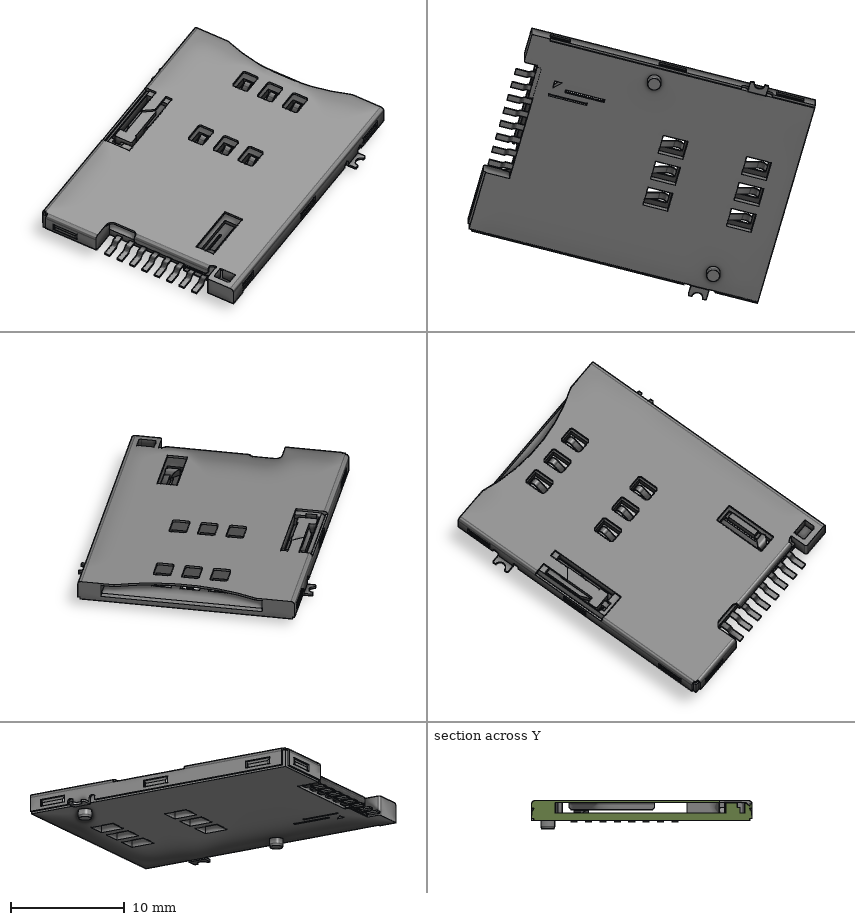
import cadquery as cq
import math

SHELL_WIDTH = 19.4
LENGTH = 26.5
TOP_Z = 1.9
SHEET = 0.2
BEND_RADIUS = 0.33
WALL_BOTTOM_Z = 0.3
BASE_BOTTOM_Z = 0.12
FLOOR_Z = 0.8

SIDE_X = SHELL_WIDTH / 2
BACK_Y = LENGTH / 2
FRONT_Y = -LENGTH / 2
UNDER_TOP_Z = TOP_Z - SHEET
WALL_DROP = TOP_Z - WALL_BOTTOM_Z

LEFT_FLANGE_X = (-9.1, -3.97)
NOTCH_Y = -10.88
NOTCH_CORNER = 0.6
MIDDLE_FLANGE_X = (-1.14, 6.4)
MIDDLE_FLANGE_Y = -11.4
MIDDLE_FLANGE_DROP = 0.82
MIDDLE_FLANGE_CORNER = 0.2
RELIEF_WIDTH = 0.3
LEFT_WALL_FRONT_Y = -12.76

RECESS_X = 0.1
RECESS_HALF_WIDTH = 6.35
RECESS_DEPTH = 1.2

BASE_SIDE_X = SIDE_X - SHEET
BASE_FRONT_Y = -13.06
CAVITY_X = (-6.8, 7.6)
LEAD_IN = 0.21
FLOOR_LIP_X = 3.86
FLOOR_LIP_Y = MIDDLE_FLANGE_Y + SHEET / 2
BLOCK_X = (6.97, SIDE_X)
BLOCK_FRONT_Y = -12.55
BLOCK_EDGE_RADIUS = 0.2
BLOCK_POCKET_X = (7.37, 8.92)
BLOCK_POCKET_Y = (-12.0, NOTCH_Y)

CONTACT_X = 0.11
CONTACT_PITCH = 2.54
CONTACT_WIDTH = 0.6
ROW_Y = (9.82, 2.22)
CONTACT_SHEET = 0.15
CONTACT_TOP_Z = 1.3
CONTACT_CREST_OFFSET = 0.4
CONTACT_CREST_HALF_LENGTH = 0.3
CONTACT_CREST_FALL = 0.13
WINDOW_WIDTH = 1.53
WINDOW_LENGTH = 2.05
WINDOW_RADIUS = 0.22
FLOOR_OPENING_MARGIN = 0.1

TAIL_COUNT = 8
TAIL_PITCH = 1.27
FIRST_TAIL_X = -2.93
TAIL_WIDTH = 0.53
TAIL_SHEET = 0.15
TAIL_SHOULDER_Z = 0.5
TAIL_BEND_RADIUS = 0.1
TAIL_ROOT_Y = -10.3
TAIL_BEND_Y = (-11.6, -11.85)

TAB_Y = 7.98
TAB_WIDTH = 1.66
TAB_TIP_X = 10.475
TAB_NOTCH_RADIUS = 0.48
TAB_CORNER = 0.12
TAB_RELIEF_WIDTH = 0.58
TAB_RELIEF_TOP_Z = 0.8

LATCH_Z = (0.6, 1.21)
LATCH_SIDE_Y = (10.96, 0.28, -10.3)
LATCH_FRONT_X = -7.13
LATCH_LENGTH = 2.47
LATCH_END = 0.2
LATCH_SETBACK = 0.04

PEG_POINTS = ((-7.85, 8.73), (8.25, -1.03))
PEG_DIAMETER = 1.22
PEG_BOTTOM_Z = -0.6
PEG_TAPER = (0.2, 0.06)

LOCK_Y = (-2.66, 4.67)
LOCK_RIGHT_X = -6.85
LOCK_RAIL_TOP_Z = 1.6
LOCK_RAIL_SLOPE_X = -9.15
LOCK_POCKET_X = (-9.07, LOCK_RIGHT_X)
LOCK_POCKET_Y = (-1.95, 4.1)
LOCK_FOOT_SLOPE = 0.25
TONGUE_X = (-8.48, -7.48)
TONGUE_TIP_Y = (2.05, 2.8)
LEVER_LEDGE_Z = 1.3
LEVER_LEDGE_X = (-8.8, -7.07)
LEVER_LEDGE_Y = (-0.65, LOCK_POCKET_Y[1])
LEVER_LEDGE_BEVEL = (0.38, 1.1)
LEVER_ARM_X = (-8.4, -7.37)
LEVER_HEAD_X = (-9.0, -7.26)
LEVER_HEAD_Y = (-1.6, -0.65)
LEVER_HEAD_CORNER = 0.15
LEVER_STEM_X = (-8.3, -7.8)
LEVER_CATCH_X = (-8.8, -7.83)
LEVER_CATCH_Y = (-2.3, -1.6)
LEVER_CATCH_Z = 1.2

SWITCH_X = (4.18, 5.96)
SWITCH_Y = (-9.69, -4.75)
SWITCH_SLIT_LEFT = ((4.48, 4.67), (-9.65, -6.15))
SWITCH_SLIT_RIGHT = ((5.15, 5.4), (-8.3, -4.75))
SWITCH_SPRING_Z = 0.45
SWITCH_LEDGE_Y = (-8.0, -5.1)
SWITCH_LEDGE_Z = 0.9
SWITCH_HUMP_Y = (-9.45, -8.3)
SWITCH_HUMP_TOP_Z = 1.02
SWITCH_HUMP_SKEW = 0.65
SWITCH_RECESS_X = (3.9, 6.8)
SWITCH_RECESS_Z = (0.22, 0.65)
SWITCH_RECESS_DEPTH = 0.4


def box(x_range, y_range, z_range):
    """Axis-aligned block from three (low, high) pairs."""
    size = [high - low for low, high in (x_range, y_range, z_range)]
    block = cq.Workplane("XY").box(*size, centered=False)
    return block.translate((x_range[0], y_range[0], z_range[0]))


def prism(points, z_range):
    """Vertical prism over a closed XY polygon."""
    outline = cq.Workplane("XY").workplane(offset=z_range[0]).polyline(points).close()
    return outline.extrude(z_range[1] - z_range[0])


def side_strip(points, x_center, width):
    """Closed YZ polygon extruded along X, centred on x_center."""
    outline = cq.Workplane("YZ").workplane(offset=x_center - width / 2).polyline(points).close()
    return outline.extrude(width)


def bent_edge(length, drop):
    """Sheet bent down at its edge: outer face at X = 0 facing +X, running from Y = 0 to length."""
    inner_radius = BEND_RADIUS - SHEET
    diagonal = math.sqrt(0.5)
    outer_mid = (BEND_RADIUS * (diagonal - 1), TOP_Z + BEND_RADIUS * (diagonal - 1))
    inner_mid = (inner_radius * diagonal - BEND_RADIUS, TOP_Z - BEND_RADIUS + inner_radius * diagonal)
    profile = (
        cq.Workplane("XZ")
        .moveTo(-BEND_RADIUS, TOP_Z)
        .threePointArc(outer_mid, (0, TOP_Z - BEND_RADIUS))
        .lineTo(0, TOP_Z - drop)
        .lineTo(-SHEET, TOP_Z - drop)
        .lineTo(-SHEET, TOP_Z - BEND_RADIUS)
        .threePointArc(inner_mid, (-BEND_RADIUS, UNDER_TOP_Z))
        .close()
    )
    return profile.extrude(-length)


def front_bend(x_range, y, drop):
    """Bent edge whose outer face looks toward -Y."""
    strip = bent_edge(x_range[1] - x_range[0], drop).rotate((0, 0, 0), (0, 0, 1), -90)
    return strip.translate((x_range[0], y, 0))


def top_plate():
    side = SIDE_X - BEND_RADIUS
    left_front = FRONT_Y + BEND_RADIUS
    middle_front = MIDDLE_FLANGE_Y + BEND_RADIUS
    notch_left = LEFT_FLANGE_X[1]
    middle_left, middle_right = MIDDLE_FLANGE_X
    corner_mid = NOTCH_CORNER * (1 - math.sqrt(0.5))
    plate = (
        cq.Workplane("XY")
        .workplane(offset=UNDER_TOP_Z)
        .moveTo(-side, BACK_Y)
        .lineTo(RECESS_X - RECESS_HALF_WIDTH, BACK_Y)
        .threePointArc((RECESS_X, BACK_Y - RECESS_DEPTH), (RECESS_X + RECESS_HALF_WIDTH, BACK_Y))
        .lineTo(side, BACK_Y)
        .lineTo(side, NOTCH_Y)
        .lineTo(middle_right + RELIEF_WIDTH, NOTCH_Y)
        .lineTo(middle_right, middle_front)
        .lineTo(middle_left, middle_front)
        .lineTo(middle_left - RELIEF_WIDTH, NOTCH_Y)
        .lineTo(notch_left + NOTCH_CORNER, NOTCH_Y)
        .threePointArc((notch_left + corner_mid, NOTCH_Y - corner_mid), (notch_left, NOTCH_Y - NOTCH_CORNER))
        .lineTo(notch_left, left_front)
        .lineTo(-side, left_front)
        .close()
    )
    return plate.extrude(SHEET)


def shell():
    body = top_plate()
    right_wall = bent_edge(BACK_Y - NOTCH_Y, WALL_DROP).translate((SIDE_X, NOTCH_Y, 0))
    left_wall = bent_edge(BACK_Y - LEFT_WALL_FRONT_Y, WALL_DROP).mirror("YZ")
    left_wall = left_wall.translate((-SIDE_X, LEFT_WALL_FRONT_Y, 0))
    middle_flange = front_bend(MIDDLE_FLANGE_X, MIDDLE_FLANGE_Y, MIDDLE_FLANGE_DROP)
    middle_flange = middle_flange.faces("<Z").edges("|Y").chamfer(MIDDLE_FLANGE_CORNER)
    body = body.union(right_wall).union(left_wall).union(middle_flange)
    body = body.union(front_bend(LEFT_FLANGE_X, FRONT_Y, WALL_DROP))
    for row_y in ROW_Y:
        for x in contact_positions():
            window = cq.Workplane("XY").box(WINDOW_WIDTH, WINDOW_LENGTH, TOP_Z).edges("|Z")
            body = body.cut(window.fillet(WINDOW_RADIUS).translate((x, row_y, TOP_Z)))
    body = body.cut(box(SWITCH_X, SWITCH_Y, (UNDER_TOP_Z, TOP_Z)))
    body = body.cut(lock_opening())
    for y in LATCH_SIDE_Y:
        ends = (y - LATCH_LENGTH / 2, y + LATCH_LENGTH / 2)
        body = body.cut(box((-SIDE_X, -BASE_SIDE_X), ends, LATCH_Z))
        body = body.cut(box((BASE_SIDE_X, SIDE_X), ends, LATCH_Z))
    ends = (LATCH_FRONT_X - LATCH_LENGTH / 2, LATCH_FRONT_X + LATCH_LENGTH / 2)
    body = body.cut(box(ends, (FRONT_Y, FRONT_Y + SHEET), LATCH_Z))
    return body.cut(tab_reliefs()).union(side_tab()).union(side_tab().mirror("YZ"))


def contact_positions():
    return [CONTACT_X + step * CONTACT_PITCH for step in (-1, 0, 1)]


def lock_opening():
    """Opening in the shell around the card lock, leaving a tongue with a slanted tip."""
    opening = box((-SIDE_X, LOCK_RIGHT_X), LOCK_Y, (LOCK_RAIL_TOP_Z, TOP_Z))
    left, right = TONGUE_X
    tongue = [
        (left, LOCK_Y[1]),
        (right, LOCK_Y[1]),
        (right, TONGUE_TIP_Y[1]),
        (left, TONGUE_TIP_Y[0]),
    ]
    return opening.cut(prism(tongue, (LOCK_RAIL_TOP_Z, TOP_Z)))


def tab_reliefs():
    """Round-topped slots in both side walls at the ends of the solder tabs."""
    radius = TAB_RELIEF_WIDTH / 2
    offset = TAB_WIDTH / 2 + radius
    arch_z = TAB_RELIEF_TOP_Z - radius
    slot = cq.Workplane("YZ").workplane(offset=-SIDE_X)
    reliefs = slot.pushPoints([(TAB_Y - offset, arch_z), (TAB_Y + offset, arch_z)])
    reliefs = reliefs.circle(radius).extrude(SHELL_WIDTH)
    for sign in (-1, 1):
        y = TAB_Y + sign * offset
        reliefs = reliefs.union(box((-SIDE_X, SIDE_X), (y - radius, y + radius), (WALL_BOTTOM_Z, arch_z)))
    keep_core = box((-BASE_SIDE_X, BASE_SIDE_X), (FRONT_Y, BACK_Y), (0, TOP_Z))
    return reliefs.cut(keep_core)


def side_tab():
    """Right-hand solder tab: the side wall carried down and turned outward, with a notched tip."""
    y_range = (TAB_Y - TAB_WIDTH / 2, TAB_Y + TAB_WIDTH / 2)
    foot = box((BASE_SIDE_X, TAB_TIP_X), y_range, (0, SHEET)).edges("|Z and >X").fillet(TAB_CORNER)
    notch = cq.Workplane("XY").center(TAB_TIP_X, TAB_Y).circle(TAB_NOTCH_RADIUS).extrude(SHEET)
    return foot.cut(notch).union(box((BASE_SIDE_X, SIDE_X), y_range, (0, WALL_BOTTOM_Z)))


def latch_nub(length):
    """Wedge on a wall facing -Y at Y = 0: upright lower half, sloping top and sloping ends."""
    front = LATCH_SETBACK - SHEET
    low, high = LATCH_Z
    middle = (low + high) / 2
    profile = [(0, low), (front, low), (front, middle), (0, high)]
    nub = side_strip(profile, 0, length)
    half = length / 2
    plan = [(-half, 0), (-half + LATCH_END, front), (half - LATCH_END, front), (half, 0)]
    return nub.intersect(prism(plan, LATCH_Z))


def base():
    left_end = LEFT_FLANGE_X[1]
    outline = [
        (-BASE_SIDE_X, BACK_Y),
        (BASE_SIDE_X, BACK_Y),
        (BASE_SIDE_X, NOTCH_Y),
        (BLOCK_X[0], NOTCH_Y),
        (BLOCK_X[0], FLOOR_LIP_Y),
        (FLOOR_LIP_X, FLOOR_LIP_Y),
        (FLOOR_LIP_X, NOTCH_Y),
        (left_end, NOTCH_Y),
        (left_end, BASE_FRONT_Y),
        (-BASE_SIDE_X, BASE_FRONT_Y),
    ]
    body = prism(outline, (BASE_BOTTOM_Z, UNDER_TOP_Z))
    body = body.cut(box(CAVITY_X, (NOTCH_Y, BACK_Y), (FLOOR_Z, UNDER_TOP_Z)))
    body = body.cut(box((left_end, BLOCK_X[0]), (FRONT_Y, NOTCH_Y), (FLOOR_Z, UNDER_TOP_Z)))
    lead_in = [(BACK_Y, FLOOR_Z), (BACK_Y, FLOOR_Z - LEAD_IN), (BACK_Y - LEAD_IN, FLOOR_Z)]
    body = body.cut(side_strip(lead_in, sum(CAVITY_X) / 2, CAVITY_X[1] - CAVITY_X[0]))
    for row_y in ROW_Y:
        for x in contact_positions():
            half_x = WINDOW_WIDTH / 2 + FLOOR_OPENING_MARGIN
            half_y = WINDOW_LENGTH / 2 + FLOOR_OPENING_MARGIN
            opening = (x - half_x, x + half_x), (row_y - half_y, row_y + half_y), (0, FLOOR_Z)
            body = body.cut(box(*opening))
    return body.union(corner_block())


def corner_block():
    """Full-height block at the front right corner with an open-topped pocket."""
    block = box(BLOCK_X, (BLOCK_FRONT_Y, NOTCH_Y), (BASE_BOTTOM_Z, TOP_Z))
    block = block.edges("|Z and <X and <Y").fillet(BLOCK_EDGE_RADIUS)
    block = block.edges("|Y and >X and >Z").fillet(BEND_RADIUS)
    pocket = box(BLOCK_POCKET_X, BLOCK_POCKET_Y, (FLOOR_Z, TOP_Z))
    return block.cut(pocket.edges("|Z and <Y").fillet(BLOCK_EDGE_RADIUS))


def add_latches(body):
    for y in LATCH_SIDE_Y:
        right_nub = latch_nub(LATCH_LENGTH).rotate((0, 0, 0), (0, 0, 1), 90)
        right_nub = right_nub.translate((BASE_SIDE_X, y, 0))
        body = body.union(right_nub).union(right_nub.mirror("YZ"))
    return body.union(latch_nub(LATCH_LENGTH).translate((LATCH_FRONT_X, FRONT_Y + SHEET, 0)))


def contact(x, row_y):
    """Spring strip rising from the front of its floor opening over a rounded crest."""
    root_y = row_y - WINDOW_LENGTH / 2 - 2 * FLOOR_OPENING_MARGIN
    crest_y = row_y + CONTACT_CREST_OFFSET
    root_z = BASE_BOTTOM_Z + CONTACT_SHEET
    slope_end = (crest_y - CONTACT_CREST_HALF_LENGTH, CONTACT_TOP_Z - CONTACT_CREST_FALL)
    crest = (crest_y, CONTACT_TOP_Z)
    tip = (crest_y + CONTACT_CREST_HALF_LENGTH, CONTACT_TOP_Z - CONTACT_CREST_FALL)
    end = (row_y + WINDOW_LENGTH / 2 - FLOOR_OPENING_MARGIN, FLOOR_Z)

    def lowered(point):
        return (point[0], point[1] - CONTACT_SHEET)

    profile = (
        cq.Workplane("YZ")
        .workplane(offset=x - CONTACT_WIDTH / 2)
        .moveTo(root_y, root_z)
        .lineTo(*slope_end)
        .threePointArc(crest, tip)
        .lineTo(*end)
        .lineTo(*lowered(end))
        .lineTo(*lowered(tip))
        .threePointArc(lowered(crest), lowered(slope_end))
        .lineTo(*lowered((root_y, root_z)))
        .close()
    )
    return profile.extrude(CONTACT_WIDTH)


def solder_tail(x):
    """Z-shaped tail stepping down from the base to the soldering plane."""
    high = TAIL_SHOULDER_Z
    bend_out, bend_down = TAIL_BEND_Y
    points = [
        (TAIL_ROOT_Y, high),
        (bend_out, high),
        (bend_down, TAIL_SHEET),
        (BASE_FRONT_Y, TAIL_SHEET),
        (BASE_FRONT_Y, 0),
        (bend_down - TAIL_SHEET / 2, 0),
        (bend_out - TAIL_SHEET / 2, high - TAIL_SHEET),
        (TAIL_ROOT_Y, high - TAIL_SHEET),
    ]
    bend_zone = cq.selectors.BoxSelector(
        (x - TAIL_WIDTH, bend_down - TAIL_SHEET, -TAIL_SHEET),
        (x + TAIL_WIDTH, bend_out + TAIL_SHEET, high + TAIL_SHEET),
    )
    return side_strip(points, x, TAIL_WIDTH).edges("|X").edges(bend_zone).fillet(TAIL_BEND_RADIUS)


def peg(point):
    taper_height, taper_inset = PEG_TAPER
    post = cq.Workplane("XY").workplane(offset=PEG_BOTTOM_Z).center(*point)
    post = post.circle(PEG_DIAMETER / 2).extrude(BASE_BOTTOM_Z - PEG_BOTTOM_Z)
    return post.faces("<Z").edges().chamfer(taper_height, taper_inset)


def add_card_lock(body):
    """Pocket in the left rail holding a two-level locking lever."""
    slope = [
        (-BASE_SIDE_X, UNDER_TOP_Z),
        (LOCK_RAIL_SLOPE_X, UNDER_TOP_Z),
        (-BASE_SIDE_X, LOCK_RAIL_TOP_Z - SHEET),
    ]
    wedge = cq.Workplane("XZ").polyline(slope).close().extrude(LOCK_Y[0] - LOCK_Y[1])
    body = body.cut(wedge.translate((0, LOCK_Y[0], 0)))
    body = body.cut(box(LOCK_POCKET_X, LOCK_POCKET_Y, (FLOOR_Z, UNDER_TOP_Z)))
    foot_y = LOCK_POCKET_Y[0]
    foot_edge = [(foot_y, FLOOR_Z), (foot_y + LOCK_FOOT_SLOPE, FLOOR_Z), (foot_y, LEVER_LEDGE_Z)]
    foot = side_strip(foot_edge, sum(LOCK_POCKET_X) / 2, LOCK_POCKET_X[1] - LOCK_POCKET_X[0])
    body = body.cut(box(LEVER_CATCH_X, LEVER_CATCH_Y, (LEVER_CATCH_Z, UNDER_TOP_Z)))
    return body.union(foot).union(lock_lever())


def lock_lever():
    """Lever: a low ledge, and a raised arm under the shell tongue ending in a wide head."""
    ledge_left, ledge_right = LEVER_LEDGE_X
    ledge_front, ledge_back = LEVER_LEDGE_Y
    bevel_x, bevel_y = LEVER_LEDGE_BEVEL
    ledge = [
        (ledge_left, ledge_back),
        (ledge_right, ledge_back),
        (ledge_right, ledge_front + 2 * bevel_y),
        (ledge_right - bevel_x, ledge_front + bevel_y),
        (LEVER_ARM_X[0], ledge_front),
        (ledge_left, ledge_front + bevel_y),
    ]
    lever = prism(ledge, (FLOOR_Z, LEVER_LEDGE_Z))
    lever = lever.union(box(LEVER_ARM_X, (ledge_front, TONGUE_TIP_Y[1]), (FLOOR_Z, UNDER_TOP_Z)))
    head = box(LEVER_HEAD_X, LEVER_HEAD_Y, (FLOOR_Z, UNDER_TOP_Z))
    lever = lever.union(head.edges("|Z").fillet(LEVER_HEAD_CORNER))
    return lever.union(box(LEVER_STEM_X, LEVER_CATCH_Y, (FLOOR_Z, LEVER_LEDGE_Z)))


def add_switch(body):
    """Card detect switch: a spring tongue slit free of the floor, ending in a skewed hump."""
    left = SWITCH_SLIT_LEFT[0][1]
    right = SWITCH_X[1]
    body = body.cut(box(SWITCH_X, SWITCH_Y, (SWITCH_SPRING_Z, FLOOR_Z)))
    ledge_x = (SWITCH_SLIT_RIGHT[0][1], right)
    body = body.union(box(ledge_x, SWITCH_LEDGE_Y, (BASE_BOTTOM_Z, SWITCH_LEDGE_Z)))
    for x_range, y_range in (SWITCH_SLIT_LEFT, SWITCH_SLIT_RIGHT):
        body = body.cut(box(x_range, y_range, (0, FLOOR_Z)))
    front, back = SWITCH_HUMP_Y
    corner_gap = [(left + SWITCH_HUMP_SKEW, front), (right, front), (right, front + SWITCH_HUMP_SKEW)]
    body = body.cut(prism(corner_gap, (0, FLOOR_Z)))
    middle = (front + back) / 2
    hump = cq.Workplane("YZ").workplane(offset=left).moveTo(front, SWITCH_SPRING_Z)
    hump = hump.threePointArc((middle, SWITCH_HUMP_TOP_Z), (back, SWITCH_SPRING_Z)).close()
    hump = hump.extrude(right - left)
    plan = [
        (left, front),
        (left + SWITCH_HUMP_SKEW, front),
        (right, front + SWITCH_HUMP_SKEW),
        (right, back),
        (left + SWITCH_HUMP_SKEW, back),
        (left, back - SWITCH_HUMP_SKEW),
    ]
    body = body.union(hump.intersect(prism(plan, (SWITCH_SPRING_Z, SWITCH_HUMP_TOP_Z))))
    recess_y = (FLOOR_LIP_Y, FLOOR_LIP_Y + SWITCH_RECESS_DEPTH)
    return body.cut(box(SWITCH_RECESS_X, recess_y, SWITCH_RECESS_Z))


result = shell().union(add_latches(add_switch(add_card_lock(base()))))
for tail_index in range(TAIL_COUNT):
    result = result.union(solder_tail(FIRST_TAIL_X + tail_index * TAIL_PITCH))
for contact_row_y in ROW_Y:
    for contact_x in contact_positions():
        result = result.union(contact(contact_x, contact_row_y))
for peg_point in PEG_POINTS:
    result = result.union(peg(peg_point))